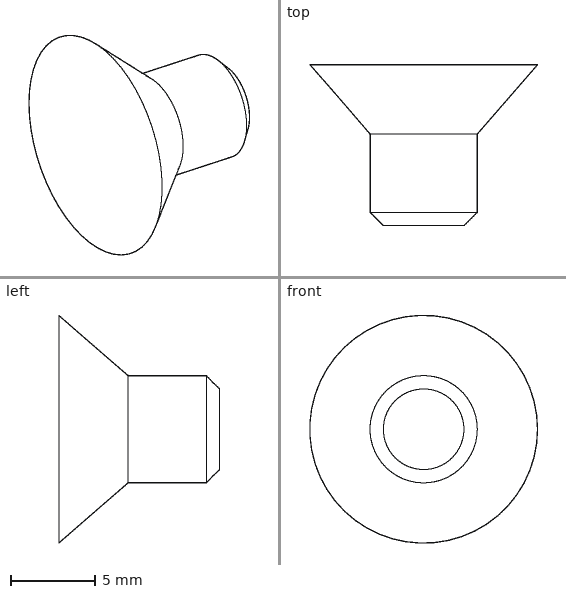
import cadquery as cq
import math

head_diameter = 13.49
head_angle = 82.0
shank_diameter = 6.35
overall_length = 9.525
tip_chamfer = 0.79

head_radius = head_diameter / 2
shank_radius = shank_diameter / 2
head_height = (head_radius - shank_radius) / math.tan(math.radians(head_angle / 2))


def make_pin():
    """Revolve the half profile (radius along X, length along Y) about the Y axis."""
    half_profile = [
        (0, 0),
        (head_radius, 0),
        (shank_radius, -head_height),
        (shank_radius, -overall_length + tip_chamfer),
        (shank_radius - tip_chamfer, -overall_length),
        (0, -overall_length),
    ]
    return (
        cq.Workplane("XY")
        .polyline(half_profile)
        .close()
        .revolve(360, (0, 0, 0), (0, 1, 0))
    )


result = make_pin()